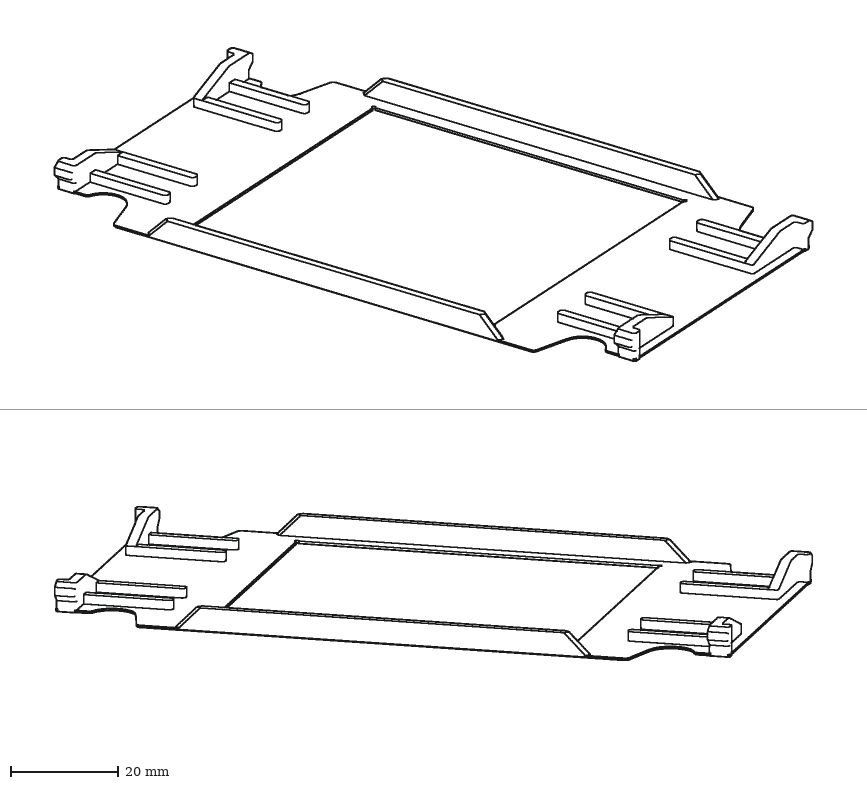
import cadquery as cq

length = 130.0
width = 73.0
plate_thickness = 0.5
end_width = 57.8
shoulder_x = 47.4
slant_foot_x = 49.6
outer_corner_radius = 1.0
bottom_chamfer = 0.2

scallop_x = 53.9
scallop_y = 30.0
scallop_radius = 4.4
scallop_lip_radius = 0.8

window_length = 70.0
window_width = 63.5
window_relief_radius = 0.4

flange_length = 80.0
flange_thickness = 1.6
flange_top = 4.6

clip_top = 5.8
wall_inner_x = 61.0
wall_thickness = 2.0
wall_start_y = 13.1
wall_bend_y = 22.1
wall_low_top = 2.3
wall_bend_radius = 2.5
wall_end_radius = 0.4

post_inner_y = 27.0
post_outer_y = 28.9
hook_tip_y = 30.25
hook_tip_low_z = 3.4
hook_tip_high_z = 5.0
hook_top_y = 29.0
hook_root_z = 2.1
post_step_radius = 0.6
hook_edge_radius = 0.4

rib_end_x = 43.9
rib_width = 1.8
rib_top = 2.3
rib_end_radius = 0.7
rib_center_ys = (14.0, 23.1)


def mirror_to_corners(body):
    """Repeat a body of the (+X, +Y) corner in all four corners."""
    both_ends = body.union(body.mirror("YZ"))
    return both_ends.union(both_ends.mirror("XZ"))


def make_plate():
    half_length = length / 2
    half_width = width / 2
    half_end = end_width / 2
    quarter = (
        cq.Workplane("XY")
        .polyline([
            (0, 0),
            (half_length, 0),
            (half_length, half_end),
            (slant_foot_x, half_end),
            (shoulder_x, half_width),
            (0, half_width),
        ])
        .close()
        .extrude(plate_thickness)
    )
    shoulder = cq.selectors.NearestToPointSelector((shoulder_x, half_width, plate_thickness / 2))
    quarter = quarter.edges(shoulder).fillet(outer_corner_radius)
    scallop = (
        cq.Workplane("XY")
        .center(scallop_x, scallop_y)
        .circle(scallop_radius)
        .extrude(plate_thickness)
    )
    quarter = quarter.cut(scallop)
    lip_x = scallop_x + (scallop_radius**2 - (scallop_y - half_end)**2) ** 0.5
    lip = cq.selectors.NearestToPointSelector((lip_x, half_end, plate_thickness / 2))
    quarter = quarter.edges(lip).fillet(scallop_lip_radius)
    window = cq.Workplane("XY").rect(window_length, window_width).extrude(plate_thickness)
    reliefs = (
        cq.Workplane("XY")
        .rect(window_length, window_width, forConstruction=True)
        .vertices()
        .circle(window_relief_radius)
        .extrude(plate_thickness)
    )
    plate = mirror_to_corners(quarter).faces("<Z").edges().chamfer(bottom_chamfer)
    return plate.cut(window).cut(reliefs)


def flange_outline(tip_x):
    """Corner points of the flange section: a bar with a 45 degree point at each end."""
    half_thickness = flange_thickness / 2
    corner_x = tip_x - half_thickness
    return [
        (-tip_x, 0),
        (-corner_x, -half_thickness),
        (corner_x, -half_thickness),
        (tip_x, 0),
        (corner_x, half_thickness),
        (-corner_x, half_thickness),
    ]


def make_flange():
    height = flange_top - plate_thickness
    bottom_tip_x = flange_length / 2
    top_tip_x = bottom_tip_x - height
    return (
        cq.Workplane("XY", origin=(0, (width - flange_thickness) / 2, plate_thickness))
        .polyline(flange_outline(bottom_tip_x))
        .close()
        .workplane(offset=height)
        .polyline(flange_outline(top_tip_x))
        .close()
        .loft(ruled=True)
    )


def round_upright_edge(body, x, y, radius):
    """Round the upright edge of a clip that stands at (x, y)."""
    margin = radius / 10
    column = cq.selectors.BoxSelector(
        (x - margin, y - margin, 0),
        (x + margin, y + margin, clip_top),
    )
    return body.edges("|Z").edges(column).fillet(radius)


def round_hook_edges(body, x):
    """Round the outer rim of the post and hook on the side face at x."""
    margin = hook_edge_radius / 10
    rim = cq.selectors.BoxSelector(
        (x - margin, post_outer_y - margin, 0),
        (x + margin, hook_tip_y + margin, clip_top - margin),
    )
    return body.edges(rim).fillet(hook_edge_radius)


def make_clip():
    wall = (
        cq.Workplane("YZ", origin=(wall_inner_x, 0, 0))
        .polyline([
            (wall_start_y, 0),
            (post_outer_y, 0),
            (post_outer_y, clip_top),
            (wall_bend_y, clip_top),
            (wall_start_y, wall_low_top),
        ])
        .close()
        .extrude(wall_thickness)
    )
    bend = cq.selectors.NearestToPointSelector((wall_inner_x + wall_thickness / 2, wall_bend_y, clip_top))
    wall = wall.edges(bend).fillet(wall_bend_radius)
    post = (
        cq.Workplane("YZ", origin=(wall_inner_x, 0, 0))
        .polyline([
            (post_inner_y, 0),
            (post_outer_y, 0),
            (post_outer_y, hook_root_z),
            (hook_tip_y, hook_tip_low_z),
            (hook_tip_y, hook_tip_high_z),
            (hook_top_y, clip_top),
            (post_inner_y, clip_top),
        ])
        .close()
        .extrude(length / 2 - wall_inner_x)
    )
    post = round_upright_edge(post, length / 2, post_inner_y, post_step_radius)
    wall_outer_x = wall_inner_x + wall_thickness
    clip = wall.union(post)
    clip = round_upright_edge(clip, wall_outer_x, post_inner_y, post_step_radius)
    clip = round_upright_edge(clip, wall_outer_x, wall_start_y, wall_end_radius)
    clip = round_hook_edges(clip, wall_inner_x)
    return round_hook_edges(clip, length / 2)


def make_rib(center_y):
    rib_length = wall_inner_x - rib_end_x
    rib = cq.Workplane("XY").box(rib_length, rib_width, rib_top, centered=(False, True, False))
    rib = rib.edges("|Z and <X").fillet(rib_end_radius)
    return rib.translate((rib_end_x, center_y, 0))


flange = make_flange()
corner = make_clip()
for rib_y in rib_center_ys:
    corner = corner.union(make_rib(rib_y))

result = make_plate().union(flange).union(flange.mirror("XZ")).union(mirror_to_corners(corner))